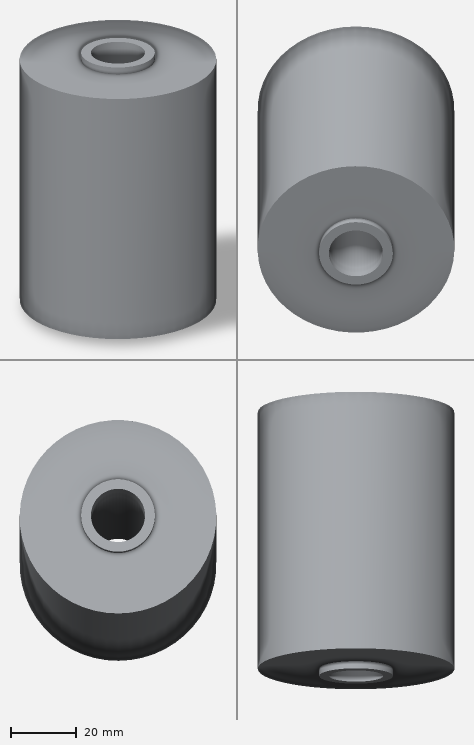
import cadquery as cq

body_diameter = 60.0
body_length = 80.0
overall_length = 84.5
hub_diameter = 22.5
bore_diameter = 16.5


def centred_cylinder(diameter, length):
    """Solid cylinder along Z, centred on the origin."""
    return cq.Workplane("XY").cylinder(length, diameter / 2)


body = centred_cylinder(body_diameter, body_length)
hub_core = centred_cylinder(hub_diameter, overall_length)
bore = centred_cylinder(bore_diameter, overall_length)

result = body.union(hub_core).cut(bore)